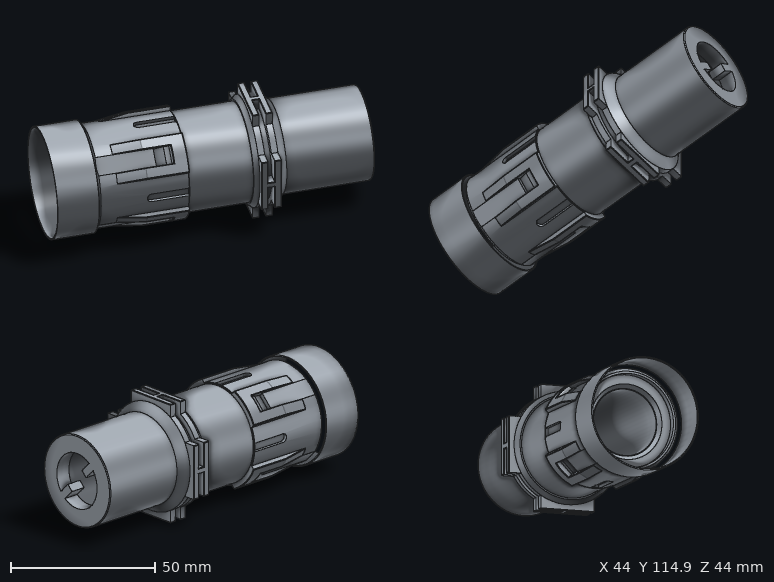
import cadquery as cq
import math

total_length = 114.9

sleeve_radius = 20.0
sleeve_wall = 0.5
sleeve_length = 14.9

collar_radius = 18.5
tube_radius = 17.9
rear_radius = 16.9
lip_radius = 17.3
flange_radius = 20.0
lip_y = 14.8
collar_front_y = 16.0
collar_rear_y = 47.7
flange_cone_front_y = 70.9
flange_front_y = 72.7
flange_rear_y = 79.9
flange_cone_rear_y = 83.2
flange_cone_front_radius = 18.5
rear_chamfer = 0.3
collar_chamfer = 0.2

socket_radius = 16.5
socket_floor_y = 17.6
funnel_front_radius = 13.3
funnel_rear_radius = 12.0
funnel_floor_y = 19.0
bore_radius = 11.7
end_wall_thickness = 5.7
end_hole_radius = 10.2
end_wall_y = total_length - end_wall_thickness

key_count = 2
key_width = 3.0
key_tip_radius = 5.0
key_angle = 45

fin_span = 20.0
fin_reach = 44.0 / 2
fin_bottom = 13.8
groove_width = 2.4
groove_floor_radius = 17.9
rib_width = 2.1
fin_chamfer = 0.2

pad_radius = 20.0
pad_width = 14.1
pad_bottom = 14.9
pad_rear_y = collar_rear_y + collar_chamfer
pad_ramp_front_y = 22.2
pad_ramp_rear_y = 32.6
pad_ramp_front_radius = 18.6
pad_chamfer = 0.2
pad_angle = 45

channel_width = 6.5
channel_floor = 18.2
notch_floor = 16.4
notch_front_y = 36.8
notch_rear_y = 40.5
channel_rear_y = 42.4
channel_rear_top_y = 42.9

slot_width = 3.2
slot_front_y = 32.6
slot_floor = 17.2

copies = 4


def revolved(points):
    """Revolve an outline of (radius, y) points around the Y axis."""
    return cq.Workplane("XY").polyline(points).close().revolve(360, (0, 0), (0, 1))


def disc(radius, front_y, rear_y):
    """A cylinder on the Y axis between two places."""
    return revolved([(0, front_y), (radius, front_y), (radius, rear_y), (0, rear_y)])


def block(width, front_y, rear_y, bottom, top):
    """A box centred on X, between two places along Y and two heights."""
    size = (width, rear_y - front_y, top - bottom)
    return cq.Workplane("XY").box(*size, centered=(True, False, False)).translate((0, front_y, bottom))


def turned(shape, start_angle, count=copies):
    """Copies of a shape spaced evenly around the Y axis."""
    step = 360 / count
    return [shape.rotate((0, 0, 0), (0, 1, 0), start_angle + step * i) for i in range(count)]


def make_sleeve():
    """The thin ring in front of the tube."""
    sleeve = disc(sleeve_radius, 0, sleeve_length)
    return sleeve.cut(disc(sleeve_radius - sleeve_wall, 0, sleeve_length))


def tube_outside():
    """The solid outer form of the tube: lip, collar, flange and rear spigot."""
    return revolved([
        (0, lip_y),
        (lip_radius, lip_y),
        (collar_radius, collar_front_y),
        (collar_radius, collar_rear_y),
        (collar_radius - collar_chamfer, collar_rear_y + collar_chamfer),
        (tube_radius, collar_rear_y + collar_chamfer),
        (tube_radius, flange_cone_front_y),
        (flange_cone_front_radius, flange_cone_front_y),
        (flange_radius, flange_front_y),
        (flange_radius, flange_rear_y),
        (rear_radius, flange_cone_rear_y),
        (rear_radius, total_length - rear_chamfer),
        (rear_radius - rear_chamfer, total_length),
        (0, total_length),
    ])


def tube_bore():
    """The inner space of the tube: socket, funnel, long bore and end-wall hole."""
    return revolved([
        (0, lip_y),
        (socket_radius, lip_y),
        (socket_radius, socket_floor_y),
        (funnel_front_radius, socket_floor_y),
        (funnel_rear_radius, funnel_floor_y),
        (bore_radius, funnel_floor_y),
        (bore_radius, end_wall_y),
        (end_hole_radius, end_wall_y),
        (end_hole_radius, total_length),
        (0, total_length),
    ])


def flange_groove():
    """The ring cut midway along the flange, wide enough to split the fins too."""
    middle_y = (flange_front_y + flange_rear_y) / 2
    front_y = middle_y - groove_width / 2
    rear_y = middle_y + groove_width / 2
    corner_radius = math.hypot(fin_span / 2, fin_reach)
    return disc(corner_radius, front_y, rear_y).cut(disc(groove_floor_radius, front_y, rear_y))


def flange_fins():
    """The upper pair of fins with the rib that bridges the groove between them."""
    fins = block(fin_span, flange_front_y, flange_rear_y, fin_bottom, fin_reach)
    rib = block(rib_width, flange_front_y, flange_rear_y, fin_bottom, fin_reach)
    fins = fins.cut(flange_groove().cut(rib))
    return fins.faces(">Z").edges().chamfer(fin_chamfer)


def latch_pad():
    """A pad on top of the collar: upright sides, ramp at the front, open down the middle for the tongue."""
    top = revolved([
        (0, pad_ramp_front_y),
        (pad_ramp_front_radius, pad_ramp_front_y),
        (pad_radius, pad_ramp_rear_y),
        (pad_radius, pad_rear_y),
        (0, pad_rear_y),
    ])
    opening = (
        cq.Workplane("YZ")
        .polyline([
            (pad_ramp_front_y, pad_bottom),
            (channel_rear_y, pad_bottom),
            (channel_rear_y, channel_floor),
            (channel_rear_top_y, pad_radius),
            (pad_ramp_front_y, pad_radius),
        ])
        .close()
        .extrude(channel_width / 2, both=True)
    )
    pad = block(pad_width, pad_ramp_front_y, pad_rear_y, pad_bottom, pad_radius).intersect(top).cut(opening)
    return pad.faces("%CYLINDER or %CONE").edges("(not %CIRCLE) or >Y").chamfer(pad_chamfer)


def latch_channel():
    """The cut along a pad that leaves the flat tongue and the notch behind it."""
    return (
        cq.Workplane("YZ")
        .polyline([
            (lip_y, channel_floor),
            (notch_front_y, channel_floor),
            (notch_front_y, notch_floor),
            (notch_rear_y, channel_floor),
            (channel_rear_y, channel_floor),
            (channel_rear_top_y, pad_radius),
            (lip_y, pad_radius),
        ])
        .close()
        .extrude(channel_width / 2, both=True)
    )


def collar_slot():
    """A flat-floored slot toward the rear of the collar, round at its front."""
    end_radius = slot_width / 2
    end_y = slot_front_y + end_radius
    slot = block(slot_width, end_y, collar_rear_y, slot_floor, pad_radius)
    end = cq.Workplane("XY").center(0, end_y).circle(end_radius).extrude(pad_radius)
    return slot.union(end.cut(block(slot_width, lip_y, collar_rear_y, 0, slot_floor)))


def end_key():
    """A key that hangs from the top of the end-wall hole."""
    return block(key_width, end_wall_y, total_length, key_tip_radius, bore_radius)


def make_tube():
    """The whole tube body with its flange fins, latch pads, slots, bore and keys."""
    tube = tube_outside()
    tube = tube.cut(flange_groove())
    for fins in turned(flange_fins(), 0):
        tube = tube.union(fins)
    for channel in turned(latch_channel(), pad_angle):
        tube = tube.cut(channel)
    for pad in turned(latch_pad(), pad_angle):
        tube = tube.union(pad)
    for slot in turned(collar_slot(), 0):
        tube = tube.cut(slot)
    tube = tube.cut(tube_bore())
    for key in turned(end_key(), -key_angle, key_count):
        tube = tube.union(key)
    return tube


sleeve = make_sleeve()
tube = make_tube()
result = cq.Compound.makeCompound([sleeve.val(), tube.val()])